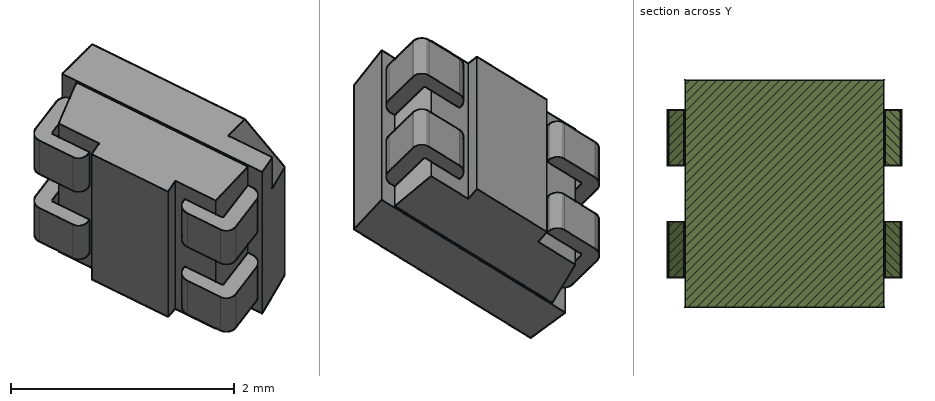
import cadquery as cq

OUTER_SIZE = 2.1
COVER_DEPTH = 0.45
COVER_DRAFT = 5.0
BASE_WIDTH = 1.8
BASE_HEIGHT = 2.052
BASE_DEPTH = 0.55
BASE_DRAFT = 10.0

NOTCH_DEPTH = 0.25
NOTCH_REACH = 0.498

RIB_WIDTH = 0.8

FOOT_THICKNESS = 0.124
LEAD_LENGTH = 0.55
LEAD_WIDTH = 0.5
LEAD_PITCH = 2 * LEAD_WIDTH
OUTER_RADIUS = 0.1
INNER_RADIUS = 0.015

HALF_SIZE = OUTER_SIZE / 2
WALL_THICKNESS = (OUTER_SIZE - BASE_WIDTH) / 2
RECESS_Y = FOOT_THICKNESS - BASE_DEPTH


def make_cover():
    """Block tapering towards +Y, with its polarity notch."""
    cover = cq.Workplane("ZX").rect(OUTER_SIZE, OUTER_SIZE).extrude(COVER_DEPTH, taper=COVER_DRAFT)
    notch = (
        cq.Workplane("ZX", origin=(0, COVER_DEPTH - NOTCH_DEPTH, 0))
        .moveTo(HALF_SIZE, HALF_SIZE)
        .lineTo(HALF_SIZE - NOTCH_REACH, HALF_SIZE)
        .lineTo(HALF_SIZE, HALF_SIZE - NOTCH_REACH)
        .close()
        .extrude(NOTCH_DEPTH)
    )
    return cover.cut(notch)


def make_base():
    """Block tapering towards -Y, recessed on both sides of the rib for the lead feet."""
    base = cq.Workplane("XZ").rect(BASE_WIDTH, BASE_HEIGHT).extrude(BASE_DEPTH, taper=BASE_DRAFT)
    recess_width = (OUTER_SIZE - RIB_WIDTH) / 2
    for side in (-1, 1):
        recess = (
            cq.Workplane("XZ", origin=(0, RECESS_Y, 0))
            .center(side * (RIB_WIDTH + recess_width) / 2, 0)
            .rect(recess_width, OUTER_SIZE)
            .extrude(FOOT_THICKNESS)
        )
        base = base.cut(recess)
    return base


def make_lead(z_center):
    """L-shaped lead on the -X side, centred at the given Z."""
    tip_x = LEAD_LENGTH - HALF_SIZE
    wall_x = WALL_THICKNESS - HALF_SIZE
    lead = (
        cq.Workplane("XY", origin=(0, 0, z_center))
        .moveTo(-HALF_SIZE, 0)
        .lineTo(-HALF_SIZE, -BASE_DEPTH)
        .lineTo(tip_x, -BASE_DEPTH)
        .lineTo(tip_x, RECESS_Y)
        .lineTo(wall_x, RECESS_Y)
        .lineTo(wall_x, 0)
        .close()
        .extrude(LEAD_WIDTH / 2, both=True)
    )
    lead = lead.edges("|Z and <X").fillet(OUTER_RADIUS)
    lead = lead.faces(">X").edges("|Z and <Y").fillet(OUTER_RADIUS)
    inner_corner = cq.selectors.NearestToPointSelector((wall_x, RECESS_Y, z_center))
    return lead.edges("|Z").edges(inner_corner).fillet(INNER_RADIUS)


housing = make_cover().union(make_base())

leads = []
for z_center in (-LEAD_PITCH / 2, LEAD_PITCH / 2):
    left_lead = make_lead(z_center).solids()
    leads.append(left_lead.val())
    leads.append(left_lead.mirror("YZ").solids().val())

result = cq.Compound.makeCompound([housing.solids().val(), *leads])